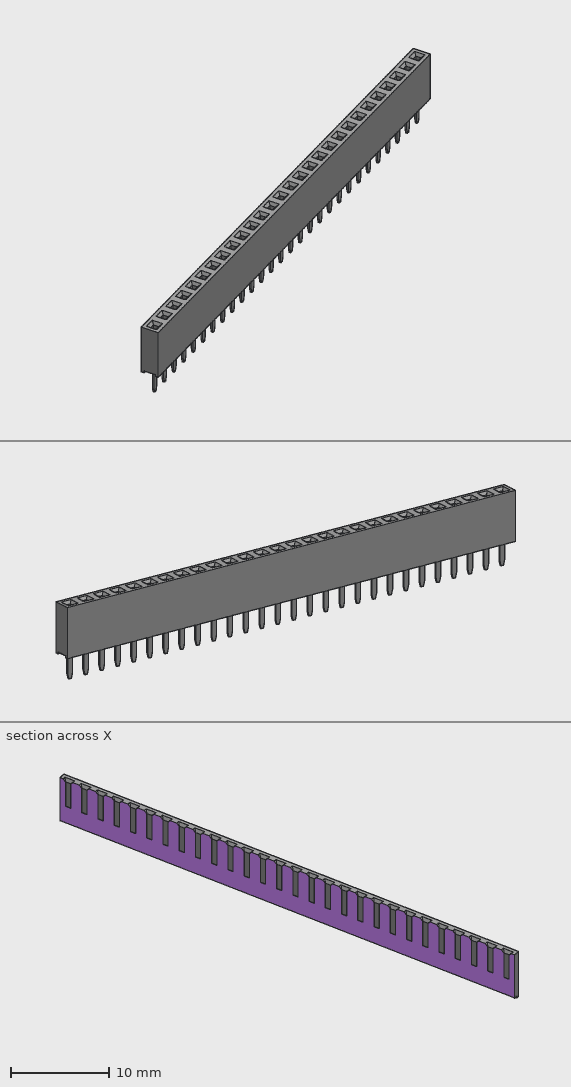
import cadquery as cq

contact_count = 28
pitch = 2.0

housing_width = 2.0
housing_length = contact_count * pitch
housing_height = 5.6

channel_width = 1.3
channel_depth = 0.2

mouth_size = 1.2
throat_size = 0.6
lead_in_depth = 0.3
throat_depth = 3.0

blade_height = 2.0
blade_width = 0.5
tail_length = 2.7
contact_thickness = 0.2
tail_width = 0.6
tip_length = 0.6
tip_width = 0.3

first_contact_y = -(contact_count - 1) * pitch / 2
contact_positions = [(0, first_contact_y + i * pitch) for i in range(contact_count)]


def make_housing():
    """Plain block with a shallow channel running its full length underneath."""
    block = cq.Workplane("XY").box(
        housing_width, housing_length, housing_height, centered=(True, True, False)
    )
    channel = cq.Workplane("XY").box(
        channel_width, housing_length, channel_depth, centered=(True, True, False)
    )
    return block.cut(channel)


def make_opening():
    """Cutter for one opening: a square funnel leading into a straight blind throat."""
    funnel = (
        cq.Workplane("XY", origin=(0, 0, housing_height))
        .rect(mouth_size, mouth_size)
        .workplane(offset=-lead_in_depth)
        .rect(throat_size, throat_size)
        .loft(ruled=True)
    )
    throat_bottom = housing_height - lead_in_depth - throat_depth
    throat = cq.Workplane("XY", origin=(0, 0, throat_bottom)).box(
        throat_size, throat_size, throat_depth, centered=(True, True, False)
    )
    return funnel.union(throat)


def make_contact():
    """Flat contact with a square upper end, narrowing across its width at the tail tip."""
    half_blade = blade_width / 2
    half_width = tail_width / 2
    half_tip = tip_width / 2
    tip_start_z = tip_length - tail_length
    blade_top = housing_height - lead_in_depth - throat_depth + blade_height
    outline = [
        (-half_blade, blade_top),
        (-half_blade, channel_depth),
        (-half_width, channel_depth),
        (-half_width, tip_start_z),
        (-half_tip, -tail_length),
        (half_tip, -tail_length),
        (half_width, tip_start_z),
        (half_width, channel_depth),
        (half_blade, channel_depth),
        (half_blade, blade_top),
    ]
    return cq.Workplane("YZ").polyline(outline).close().extrude(contact_thickness / 2, both=True)


def at_each_contact(shape):
    """Copies of the shape at every contact position, as one compound."""
    copies = [shape.val().moved(cq.Location(cq.Vector(x, y, 0))) for x, y in contact_positions]
    return cq.Workplane(obj=cq.Compound.makeCompound(copies))


socket = make_housing().cut(at_each_contact(make_opening()))
result = socket.union(at_each_contact(make_contact()))